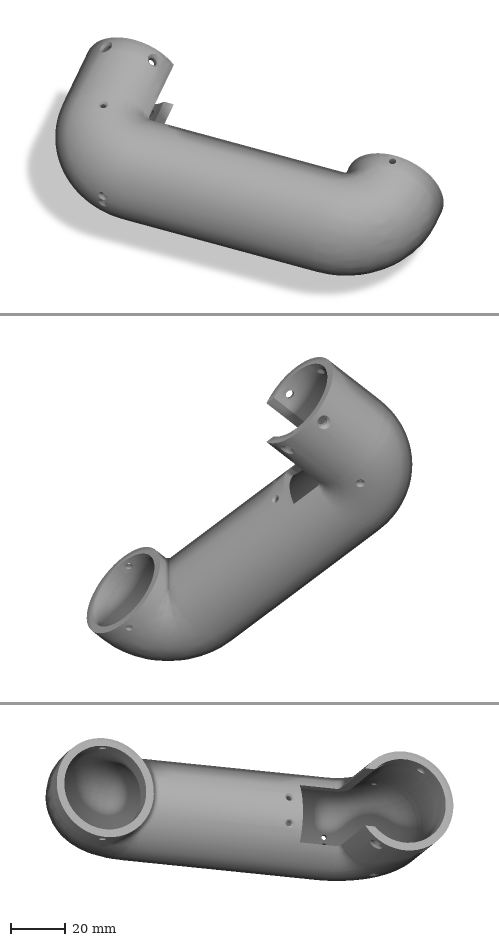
import cadquery as cq
import math

LENGTH = 148.0
TUBE_RADIUS = 19.02
WALL = 3.0
BORE_RADIUS = TUBE_RADIUS - WALL
BEND_RADIUS = 17.0
BEND_REACH = BEND_RADIUS + TUBE_RADIUS
LEG_END = 63.0
COLLAR_END = 42.2
LEG_AXIS = TUBE_RADIUS
COLLAR_AXIS = LENGTH - TUBE_RADIUS

SLOT_WIDTH = 22.0
SLOT_END = 50.0

CAP_SETBACK = 4.0
CAP_EDGE = BEND_REACH - CAP_SETBACK
CAP_CORNER_RADIUS = BEND_RADIUS - CAP_SETBACK

CAP_DRILL = 1.9
CAP_SINK = 3.7
CAP_SIDE_HOLE_Y = 29.2
CAP_FRONT_HOLE_X = 29.0
CAP_FRONT_HOLE_Z = 1.9

LEG_DRILL = 3.3
LEG_SINK = 5.5
LEG_HOLE_Y = LEG_END - 4.9
LEG_HOLE_ANGLE = 30.0

COLLAR_DRILL = 2.7
COLLAR_HOLE_Y = COLLAR_END - 3.0
TUBE_DRILL = 1.9
TUBE_SINK = 3.3
TUBE_HOLE_X = 55.0
TUBE_HOLE_ANGLE = 15.5

CLEARANCE = 1.5


def straight(radius, start, direction, length):
    """Round bar from a start point along a direction."""
    return cq.Workplane(obj=cq.Solid.makeCylinder(radius, length, cq.Vector(*start), cq.Vector(*direction)))


def left_bend(radius):
    """Quarter of a ring about a vertical axis; a section that would pass the axis stops there."""
    reach = BEND_RADIUS + radius
    section = cq.Workplane("XZ", origin=(BEND_REACH, BEND_REACH, 0))
    if radius > BEND_RADIUS:
        axis_height = math.sqrt(radius**2 - BEND_RADIUS**2)
        section = section.moveTo(0, axis_height).threePointArc((-reach, 0), (0, -axis_height)).close()
    else:
        section = (
            section.moveTo(-BEND_RADIUS, radius)
            .threePointArc((-reach, 0), (-BEND_RADIUS, -radius))
            .threePointArc((radius - BEND_RADIUS, 0), (-BEND_RADIUS, radius))
            .close()
        )
    ring = section.revolve(180, (0, 0, 0), (0, 1, 0))
    quadrant = cq.Workplane("XY").box(reach, reach, 2 * radius + CLEARANCE)
    return ring.intersect(quadrant.translate((BEND_REACH - reach / 2, BEND_REACH - reach / 2, 0)))


def right_bend(radius):
    """Mirror image of the left bend at the other end of the tube."""
    return left_bend(radius).mirror("YZ").translate((LENGTH, 0, 0))


def tube_run(radius):
    """Leg, left bend, straight tube, right bend and collar, all of one radius."""
    run = straight(radius, (LEG_AXIS, BEND_REACH, 0), (0, 1, 0), LEG_END - BEND_REACH)
    run = run.union(left_bend(radius))
    run = run.union(straight(radius, (BEND_REACH, TUBE_RADIUS, 0), (1, 0, 0), LENGTH - 2 * BEND_REACH))
    run = run.union(right_bend(radius))
    return run.union(straight(radius, (COLLAR_AXIS, BEND_REACH, 0), (0, 1, 0), COLLAR_END - BEND_REACH))


def access_slot():
    """Block that opens the inner side of the leg, the left bend and the start of the tube."""
    return cq.Workplane("XY").box(
        SLOT_END - LEG_AXIS, LEG_END - TUBE_RADIUS, SLOT_WIDTH, centered=(False, False, True)
    ).translate((LEG_AXIS, TUBE_RADIUS, 0))


def cap_region():
    """Block over the outer side of the left bend, with one rounded corner."""
    corner_mid = TUBE_RADIUS + CAP_CORNER_RADIUS * math.sqrt(0.5)
    return (
        cq.Workplane("XY", origin=(0, 0, -TUBE_RADIUS - CLEARANCE))
        .moveTo(-CLEARANCE, -CLEARANCE)
        .lineTo(CAP_EDGE, -CLEARANCE)
        .lineTo(CAP_EDGE, TUBE_RADIUS)
        .threePointArc((corner_mid, corner_mid), (TUBE_RADIUS, CAP_EDGE))
        .lineTo(-CLEARANCE, CAP_EDGE)
        .close()
        .extrude(2 * (TUBE_RADIUS + CLEARANCE))
    )


def wall_hole(centre, outward, drill, sink=0.0):
    """Hole through the wall along a radius of the tube, with a 90 degree countersink if a sink diameter is given."""
    outward = cq.Vector(*outward).normalized()
    surface = cq.Vector(*centre) + outward * TUBE_RADIUS
    inner = surface - outward * (WALL + CLEARANCE)
    hole = straight(drill / 2, inner.toTuple(), outward.toTuple(), WALL + 2 * CLEARANCE)
    if sink > drill:
        rim = surface + outward * CLEARANCE
        depth = (sink - drill) / 2 + CLEARANCE
        cone = cq.Solid.makeCone(sink / 2 + CLEARANCE, drill / 2, depth, rim, outward * -1)
        hole = hole.union(cq.Workplane(obj=cone))
    return hole


def make_housing(shell):
    housing = shell.cut(cap_region()).cut(access_slot())

    tilt = math.radians(LEG_HOLE_ANGLE)
    for x_side in (-1, 1):
        for z_side in (-1, 1):
            outward = (x_side * math.sin(tilt), 0, z_side * math.cos(tilt))
            housing = housing.cut(wall_hole((LEG_AXIS, LEG_HOLE_Y, 0), outward, LEG_DRILL, LEG_SINK))

    tilt = math.radians(TUBE_HOLE_ANGLE)
    for z_side in (-1, 1):
        housing = housing.cut(wall_hole((COLLAR_AXIS, COLLAR_HOLE_Y, 0), (0, 0, z_side), COLLAR_DRILL))
        outward = (0, math.cos(tilt), z_side * math.sin(tilt))
        housing = housing.cut(wall_hole((TUBE_HOLE_X, TUBE_RADIUS, 0), outward, TUBE_DRILL, TUBE_SINK))
    return housing


def make_corner_cap(shell):
    cap = shell.intersect(cap_region())

    tilt = math.asin(CAP_FRONT_HOLE_Z / TUBE_RADIUS)
    front_reach = BEND_RADIUS + TUBE_RADIUS * math.cos(tilt)
    swing = math.asin((BEND_REACH - CAP_FRONT_HOLE_X) / front_reach)
    front_centre = (
        BEND_REACH - BEND_RADIUS * math.sin(swing),
        BEND_REACH - BEND_RADIUS * math.cos(swing),
        0,
    )
    for z_side in (-1, 1):
        cap = cap.cut(wall_hole((LEG_AXIS, CAP_SIDE_HOLE_Y, 0), (0, 0, z_side), CAP_DRILL, CAP_SINK))
        outward = (
            -math.cos(tilt) * math.sin(swing),
            -math.cos(tilt) * math.cos(swing),
            z_side * math.sin(tilt),
        )
        cap = cap.cut(wall_hole(front_centre, outward, CAP_DRILL, CAP_SINK))
    return cap


tube_shell = tube_run(TUBE_RADIUS).cut(tube_run(BORE_RADIUS))
housing = make_housing(tube_shell)
corner_cap = make_corner_cap(tube_shell)

result = cq.Compound.makeCompound([housing.val(), corner_cap.val()])